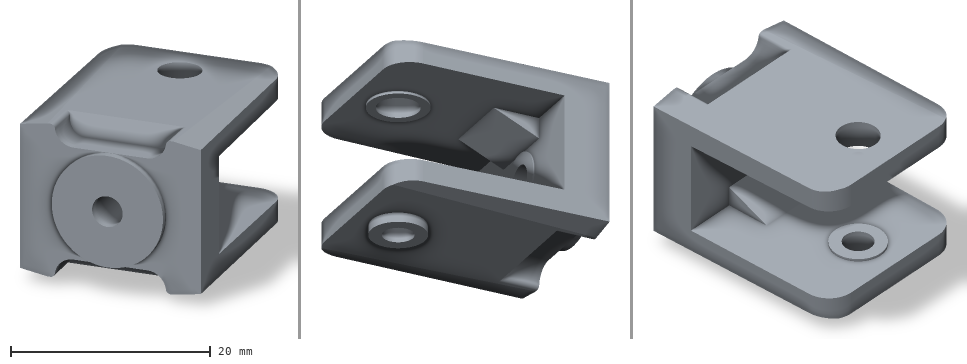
import cadquery as cq
import math

DRAFT_ANGLE = 0.5
DRAFT = math.tan(math.radians(DRAFT_ANGLE))
OVERALL_LENGTH = 24.6
OVERALL_HEIGHT = 17.35
BODY_LENGTH = 23.8
BASE_HALF_WIDTH = 19.5 / 2
BASE_HALF_HEIGHT = 8.25
BEVEL_DROP = 0.5
BEVEL_SLOPE = math.tan(math.radians(9.4))
TIP_RADIUS = 3.0

WEB_THICKNESS = 5.02
SLOT_HALF_HEIGHT = 5.26

GUSSET_LENGTH = 5.07
GUSSET_HEIGHT = 2.26

RECESS_FLOOR_Z = 6.03
RECESS_FLOOR_HALF_WIDTH = 3.99
RECESS_RADIUS = 2.02
RECESS_LIP_RADIUS = 0.5
RECESS_TOP_DEPTH = 4.23
RECESS_FLOOR_DEPTH = 3.22

FLANGE_DIAMETER = 12.0
FLANGE_THICKNESS = OVERALL_LENGTH - BODY_LENGTH
BUSHING_DIAMETER = 6.0
BORE_DIAMETER = 3.3
BOSS_HEIGHT = 0.17
PIVOT_SETBACK = 4.97
PIVOT_Y = BODY_LENGTH - PIVOT_SETBACK
UPPER_HOLE_DIAMETER = 4.53
UPPER_BOSS_DIAMETER = 6.5
ARM_BOSS_Z = 5.12
PEG_BOTTOM_Z = BASE_HALF_HEIGHT - OVERALL_HEIGHT

OVERLAP = 0.25


def bevelled_section(y):
    """Body cross-section at the given Y: a rectangle with shallow bevels above and below."""
    half_width = BASE_HALF_WIDTH - y * DRAFT
    half_height = BASE_HALF_HEIGHT - y * DRAFT
    bevel_plane_z = BASE_HALF_HEIGHT - BEVEL_DROP + BASE_HALF_WIDTH * BEVEL_SLOPE
    side_z = bevel_plane_z - half_width * BEVEL_SLOPE
    crest_x = (bevel_plane_z - half_height) / BEVEL_SLOPE
    corners = [
        (half_width, side_z),
        (crest_x, half_height),
        (-crest_x, half_height),
        (-half_width, side_z),
        (-half_width, -side_z),
        (-crest_x, -half_height),
        (crest_x, -half_height),
        (half_width, -side_z),
    ]
    return cq.Wire.makePolygon([cq.Vector(x, y, z) for x, z in corners], close=True)


def make_body():
    block = cq.Solid.makeLoft([bevelled_section(0), bevelled_section(BODY_LENGTH)], True)
    tip_half_width = BASE_HALF_WIDTH - BODY_LENGTH * DRAFT
    plan = (
        cq.Workplane("XY")
        .workplane(offset=-BASE_HALF_HEIGHT)
        .polyline([
            (-BASE_HALF_WIDTH, 0),
            (BASE_HALF_WIDTH, 0),
            (tip_half_width, BODY_LENGTH),
            (-tip_half_width, BODY_LENGTH),
        ])
        .close()
        .extrude(2 * BASE_HALF_HEIGHT)
        .edges("|Z and >Y")
        .fillet(TIP_RADIUS)
    )
    return plan.intersect(cq.Workplane(obj=block))


def make_slot():
    end_y = BODY_LENGTH + OVERLAP
    end_half_height = SLOT_HALF_HEIGHT + (end_y - WEB_THICKNESS) * DRAFT
    return (
        cq.Workplane("YZ")
        .polyline([
            (WEB_THICKNESS, -SLOT_HALF_HEIGHT),
            (end_y, -end_half_height),
            (end_y, end_half_height),
            (WEB_THICKNESS, SLOT_HALF_HEIGHT),
        ])
        .close()
        .extrude(BASE_HALF_WIDTH + OVERLAP, both=True)
    )


def make_gusset():
    """Upper gusset, as wide as the flat floor of the recess above it."""
    root_y = WEB_THICKNESS - OVERLAP
    root_z = SLOT_HALF_HEIGHT + OVERLAP
    toe_y = WEB_THICKNESS + GUSSET_LENGTH
    return (
        cq.Workplane("YZ")
        .polyline([
            (root_y, root_z),
            (root_y, SLOT_HALF_HEIGHT - GUSSET_HEIGHT),
            (WEB_THICKNESS, SLOT_HALF_HEIGHT - GUSSET_HEIGHT),
            (toe_y, SLOT_HALF_HEIGHT + GUSSET_LENGTH * DRAFT),
            (toe_y, root_z),
        ])
        .close()
        .extrude(RECESS_FLOOR_HALF_WIDTH, both=True)
    )


def make_recess():
    """Upper recess: rounded trough with rolled lips and a sloping end wall."""
    trough_z = RECESS_FLOOR_Z + RECESS_RADIUS
    lip_z = BASE_HALF_HEIGHT - RECESS_LIP_RADIUS
    centre_distance = RECESS_RADIUS + RECESS_LIP_RADIUS
    centre_dx = math.sqrt(centre_distance**2 - (lip_z - trough_z) ** 2)
    lip_x = RECESS_FLOOR_HALF_WIDTH + centre_dx
    trough_end_angle = math.atan2(lip_z - trough_z, centre_dx)
    lip_start_angle = trough_end_angle + math.pi

    def on_trough(angle):
        return (
            RECESS_FLOOR_HALF_WIDTH + RECESS_RADIUS * math.cos(angle),
            trough_z + RECESS_RADIUS * math.sin(angle),
        )

    def on_lip(angle):
        return (
            lip_x + RECESS_LIP_RADIUS * math.cos(angle),
            lip_z + RECESS_LIP_RADIUS * math.sin(angle),
        )

    half_trough = (
        cq.Workplane("XZ")
        .moveTo(0, RECESS_FLOOR_Z)
        .lineTo(RECESS_FLOOR_HALF_WIDTH, RECESS_FLOOR_Z)
        .threePointArc(on_trough((trough_end_angle - math.pi / 2) / 2), on_trough(trough_end_angle))
        .threePointArc(on_lip((lip_start_angle + math.pi / 2) / 2), (lip_x, BASE_HALF_HEIGHT))
        .lineTo(lip_x, BASE_HALF_HEIGHT + OVERLAP)
        .lineTo(0, BASE_HALF_HEIGHT + OVERLAP)
        .close()
        .extrude(-RECESS_TOP_DEPTH - OVERLAP)
    )
    trough = half_trough.union(half_trough.mirror("YZ"))

    wall_run = (RECESS_TOP_DEPTH - RECESS_FLOOR_DEPTH) / (BASE_HALF_HEIGHT - RECESS_FLOOR_Z)
    end_wall = (
        cq.Workplane("YZ")
        .polyline([
            (0, RECESS_FLOOR_Z),
            (RECESS_FLOOR_DEPTH, RECESS_FLOOR_Z),
            (RECESS_TOP_DEPTH + OVERLAP * wall_run, BASE_HALF_HEIGHT + OVERLAP),
            (0, BASE_HALF_HEIGHT + OVERLAP),
        ])
        .close()
        .extrude(BASE_HALF_WIDTH, both=True)
    )
    recess = trough.intersect(end_wall)
    hinge_start = (0, 0, BASE_HALF_HEIGHT)
    hinge_end = (1, 0, BASE_HALF_HEIGHT)
    return recess.rotate(hinge_start, hinge_end, -DRAFT_ANGLE)


def cylinder_along_y(diameter, start_y, end_y):
    return cq.Workplane("XZ", origin=(0, start_y, 0)).circle(diameter / 2).extrude(start_y - end_y)


def pivot_cylinder(diameter, start_z, end_z):
    return cq.Workplane("XY", origin=(0, PIVOT_Y, start_z)).circle(diameter / 2).extrude(end_z - start_z)


body = make_body().cut(make_slot())

gusset = make_gusset()
recess = make_recess()
body = body.union(gusset).union(gusset.mirror("XY"))
body = body.cut(recess).cut(recess.mirror("XY"))

body = body.union(cylinder_along_y(FLANGE_DIAMETER, -FLANGE_THICKNESS, OVERLAP))
body = body.union(cylinder_along_y(BUSHING_DIAMETER, 0, WEB_THICKNESS + BOSS_HEIGHT))
body = body.cut(cylinder_along_y(BORE_DIAMETER, -FLANGE_THICKNESS, WEB_THICKNESS + BOSS_HEIGHT))

arm_centre_z = (SLOT_HALF_HEIGHT + BASE_HALF_HEIGHT) / 2
body = body.union(pivot_cylinder(UPPER_BOSS_DIAMETER, ARM_BOSS_Z, arm_centre_z))
body = body.union(pivot_cylinder(BUSHING_DIAMETER, PEG_BOTTOM_Z, -ARM_BOSS_Z))
body = body.cut(pivot_cylinder(UPPER_HOLE_DIAMETER, 0, BASE_HALF_HEIGHT))
result = body.cut(pivot_cylinder(BORE_DIAMETER, PEG_BOTTOM_Z, 0))